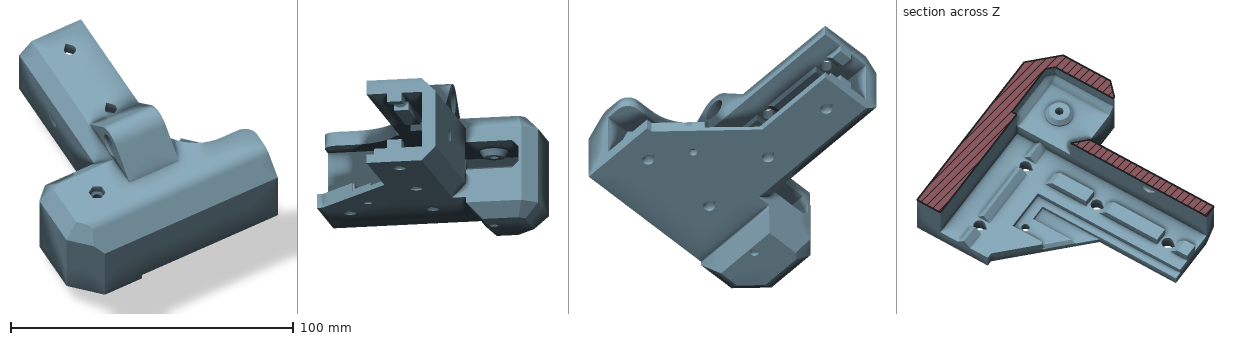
import cadquery as cq
import math

LENGTH = 90.0
DEPTH = 80.0
HEIGHT = 49.0
RAIL = 20.0
WALL = 5.0
FOOT = 7.0
BACK = 30.0
POST_X = 60.0
BLOCK_CORNER = 10.0
OVER = 27.0

SHELL_Z = RAIL + 2 * WALL
ROOF_Z = WALL + RAIL
FRONT = BACK - DEPTH
ARM_Y = -RAIL - WALL
BLOCK_X = POST_X - WALL
POST_END = POST_X + RAIL
RAIL_MID_Y = -RAIL / 2
RAIL_MID_X = POST_X + RAIL / 2

GUSSET_X = 32.2
ROOF_LOW_Y = 1.35
ROOF_HIGH_Y = 18.3
ROOF_TIP_R = 5.0
LUG_X = 57.1
LUG_R = 7.0
LUG_BORE = 8.2
LUG_Z = HEIGHT - FOOT - LUG_R
SCREW_D = 4.2
SCREW_TIP = 3.2
HEAD_D = 8.2
ARM_HOLES_X = (10.0, 40.0)
SIDE_HOLE_X = 25.0
CROSS_HOLES_Y = (RAIL_MID_Y, 20.0)
KEY_W = 5.2
KEY_H = 3.1
RIDGE_H = 2.5
EMBED = 0.9
KEY_GAP = 5.5
IDLER_Y = -32.1
IDLER_R = 12.0
IDLER_Z = (WALL + ROOF_Z) / 2
POCKET_X = 52.6
POCKET_H = 10.0
POCKET_BEVEL = 2.5
CONE_BASE_D = 10.0
CONE_TIP_D = 7.5
CONE_RIM = 0.5
CONE_H = 2.25
AXLE_D = 3.1
NUT_D = 6.0
NUT_DEPTH = 3.1
RECESS_Z = 3.1
RECESS_Y = (-2.8, 13.8)
BAY_Z = 1.7
BAY_X = 56.25
BAY_DEPTH_Y = 6.3
RAMP_W = 1.5
RAMP_DROP = 1.2
NOTCH_X = 47.3
NOTCH_Y = 14.5
SWITCH_HOLE = (56.5, 10.8)
SWITCH_HOLE_D = 3.0


def box(x, y, z):
    """Box from three (low, high) ranges."""
    size = [high - low for low, high in (x, y, z)]
    return cq.Workplane("XY").box(*size, centered=False).translate((x[0], y[0], z[0]))


def plate(points, z_low, z_high):
    """Prism over an XY outline."""
    return cq.Workplane("XY").workplane(offset=z_low).polyline(points).close().extrude(z_high - z_low)


def bevelled_end(points, z, height):
    """Prism starting at z (downward for a negative height), narrowing at 45 degrees."""
    return cq.Workplane("XY").workplane(offset=z).polyline(points).close().extrude(height, taper=45)


def along_y(profile, y_low, y_high):
    """Extrude an XZ wire between two Y positions."""
    return profile.extrude(y_low - y_high).translate((0, y_low, 0))


def teardrop(plane, u, v, length):
    """Screw hole from a base plane, with a point toward -X, its flanks tangent to the round part."""
    r = SCREW_D / 2
    tangent_u = r**2 / SCREW_TIP
    tangent_v = math.sqrt(r**2 - tangent_u**2)
    return (
        cq.Workplane(plane)
        .moveTo(u - SCREW_TIP, v)
        .lineTo(u - tangent_u, v - tangent_v)
        .threePointArc((u + r, v), (u - tangent_u, v + tangent_v))
        .close()
        .extrude(length)
    )


def shell():
    """Outer body: arm, cross post, gusset and upper part of the block, all solid."""
    low_x, high_x, high_y = -OVER, LENGTH + OVER, BACK + OVER
    arm_outline = [(low_x, ARM_Y), (high_x, ARM_Y), (high_x, high_y), (low_x, high_y)]
    block_outline = [
        (BLOCK_X, high_y), (BLOCK_X, FRONT + WALL), (POST_X, FRONT), (LENGTH - BLOCK_CORNER, FRONT),
        (high_x, FRONT + BLOCK_CORNER + OVER), (high_x, high_y),
    ]
    bevelled = cq.Workplane("XY")
    for outline in (arm_outline, block_outline):
        bevelled = bevelled.add(plate(outline, 0, ROOF_Z)).add(bevelled_end(outline, ROOF_Z, WALL))
    bevelled = bevelled.combine()

    round_mid_x = WALL * math.sin(math.pi / 8)
    round_mid_z = WALL * math.cos(math.pi / 8)
    diagonal = WALL / math.sqrt(2)
    bevel_sum = POST_END + ROOF_Z + 2 * diagonal
    profile = (
        cq.Workplane("XZ")
        .moveTo(0, 0)
        .lineTo(LENGTH, 0)
        .lineTo(LENGTH, bevel_sum - LENGTH)
        .lineTo(POST_END + diagonal, ROOF_Z + diagonal)
        .threePointArc((POST_END + round_mid_x, ROOF_Z + round_mid_z), (POST_END, SHELL_Z))
        .lineTo(0, SHELL_Z)
        .close()
    )
    body = bevelled.intersect(along_y(profile, FRONT, BACK))

    arm_bevel = (
        cq.Workplane("YZ").polyline([(ARM_Y, 0), (ARM_Y + WALL, 0), (ARM_Y, WALL)]).close().extrude(BLOCK_X)
    )
    gusset_end = POST_X - GUSSET_X
    behind = [(0, 0), (GUSSET_X, 0), (POST_X, gusset_end), (POST_X, BACK), (0, BACK)]
    return body.cut(arm_bevel).cut(plate(behind, 0, SHELL_Z))


def foot():
    """Lower part of the idler block, bevelled all round."""
    outline = [
        (BLOCK_X, ARM_Y), (BLOCK_X, FRONT + WALL), (POST_X, FRONT),
        (LENGTH - BLOCK_CORNER, FRONT), (LENGTH, FRONT + BLOCK_CORNER), (LENGTH, ARM_Y),
    ]
    bevel_top = WALL - FOOT
    return plate(outline, bevel_top, WALL).union(bevelled_end(outline, bevel_top, -WALL))


def lug():
    """Hinge lug on the arm: a round top with 45 degree flanks."""
    tangent = LUG_R / math.sqrt(2)
    half_base = LUG_R * math.sqrt(2) + LUG_Z - ROOF_Z
    profile = (
        cq.Workplane("XZ")
        .moveTo(LUG_X - half_base, ROOF_Z)
        .lineTo(LUG_X - tangent, LUG_Z + tangent)
        .threePointArc((LUG_X, LUG_Z + LUG_R), (LUG_X + tangent, LUG_Z + tangent))
        .lineTo(LUG_X + half_base, ROOF_Z)
        .close()
    )
    bore = cq.Workplane("XZ").center(LUG_X, LUG_Z).circle(LUG_BORE / 2)
    return along_y(profile, -RAIL, 0).cut(along_y(bore, -RAIL, 0))


def rail_space():
    """Both rails, plus everything left open above the gusset and beside the top plate."""
    arm_rail = box((0, POST_END), (-RAIL, 0), (WALL, ROOF_Z))
    cross_rail = box((POST_X, POST_END), (-RAIL, BACK), (WALL, ROOF_Z))
    run = RAIL_MID_X - POST_X
    rise = ROOF_HIGH_Y - ROOF_LOW_Y
    edge_r = (run**2 + rise**2) / (2 * run)
    half_angle = math.asin(rise / edge_r) / 2
    edge_mid = (
        RAIL_MID_X - edge_r * (1 - math.cos(half_angle)),
        ROOF_HIGH_Y - edge_r * math.sin(half_angle),
    )
    tip_x = RAIL_MID_X + ROOF_TIP_R
    tip_y = BACK - ROOF_TIP_R
    tip_off = ROOF_TIP_R / math.sqrt(2)
    open_top = (
        cq.Workplane("XY")
        .workplane(offset=WALL)
        .moveTo(0, 0)
        .lineTo(POST_X, 0)
        .lineTo(POST_X, ROOF_LOW_Y)
        .threePointArc(edge_mid, (RAIL_MID_X, ROOF_HIGH_Y))
        .lineTo(RAIL_MID_X, tip_y)
        .threePointArc((tip_x - tip_off, tip_y + tip_off), (tip_x, BACK))
        .lineTo(0, BACK)
        .close()
        .extrude(RAIL + WALL)
    )
    return arm_rail.union(cross_rail).union(open_top)


def arm_keys():
    """Slot keys on the arm's floor and roof, broken at the screws, with 45 degree +X ends."""
    starts = [0] + [x + KEY_GAP / 2 for x in ARM_HOLES_X]
    ends = [x - KEY_GAP / 2 for x in ARM_HOLES_X] + [POST_X]
    keys = cq.Workplane("XY")
    for start, end in zip(starts, ends):
        for base, up in ((WALL, 1), (ROOF_Z, -1)):
            side = [
                (start, base - up * EMBED), (end, base - up * EMBED), (end, base),
                (end - KEY_H, base + up * KEY_H), (start, base + up * KEY_H),
            ]
            key = cq.Workplane("XZ").polyline(side).close()
            keys = keys.add(along_y(key, RAIL_MID_Y - KEY_W / 2, RAIL_MID_Y + KEY_W / 2))
    return keys.combine()


def cross_ridge():
    """Triangular ridge on the floor of the cross rail, broken at the screw positions."""
    section = [
        (RAIL_MID_X - RIDGE_H, WALL), (RAIL_MID_X, WALL + RIDGE_H), (RAIL_MID_X + RIDGE_H, WALL),
        (RAIL_MID_X + RIDGE_H, WALL - EMBED), (RAIL_MID_X - RIDGE_H, WALL - EMBED),
    ]
    ridge = along_y(cq.Workplane("XZ").polyline(section).close(), -RAIL, BACK)
    for y in CROSS_HOLES_Y:
        gap = (y - KEY_GAP / 2, y + KEY_GAP / 2)
        ridge = ridge.cut(box((POST_X, POST_END), gap, (WALL, ROOF_Z)))
    return ridge


def idler_pocket():
    """Bevelled pocket for a belt idler, opening into the arm rail."""
    pocket_z = (IDLER_Z - POCKET_H / 2, IDLER_Z + POCKET_H / 2)
    pocket_y = (IDLER_Y - IDLER_R, -RAIL)
    pocket = box((POCKET_X, RAIL_MID_X + IDLER_R), pocket_y, pocket_z)
    pocket = pocket.edges("<Y or >X").edges("not >Y").chamfer(POCKET_BEVEL)
    pocket = pocket.cut(
        plate([(POCKET_X, ARM_Y), (POCKET_X + WALL, -RAIL), (POCKET_X, -RAIL)], *pocket_z)
    )
    return pocket.cut(box((POCKET_X, BLOCK_X), (FRONT, ARM_Y), pocket_z))


def spacers():
    """Conical spacers that centre the idler between the pocket's floor and ceiling."""
    cone = (
        cq.Workplane("XY")
        .circle(CONE_BASE_D / 2)
        .extrude(CONE_RIM)
        .faces(">Z")
        .workplane()
        .circle(CONE_BASE_D / 2)
        .workplane(offset=CONE_H - CONE_RIM)
        .circle(CONE_TIP_D / 2)
        .loft()
    )
    floor_cone = cone.translate((RAIL_MID_X, IDLER_Y, IDLER_Z - POCKET_H / 2))
    return floor_cone.union(floor_cone.mirror("XY", (0, 0, IDLER_Z)))


def switch_recess():
    """Shallow recess in the gusset and arm floor, with a deeper bay and a ramp on the diagonal edge."""
    recess = box((0, POST_X), RECESS_Y, (RECESS_Z, WALL))
    bay = box((GUSSET_X, BAY_X), (0, BAY_DEPTH_Y), (BAY_Z, WALL))
    ramp_section = [(GUSSET_X, RECESS_Z), (GUSSET_X + RAMP_W, RECESS_Z), (GUSSET_X, RECESS_Z - RAMP_DROP)]
    lower = [(x + BAY_DEPTH_Y, BAY_DEPTH_Y, z) for x, z in ramp_section]
    sweep = cq.Vector(1, 1, 0) * (RECESS_Y[1] - BAY_DEPTH_Y)
    face = cq.Face.makeFromWires(cq.Wire.makePolygon([cq.Vector(*p) for p in lower], close=True))
    ramp = cq.Workplane(obj=cq.Solid.extrudeLinear(face, sweep))
    notch = box((GUSSET_X, NOTCH_X), (RECESS_Y[1], NOTCH_Y), (RECESS_Z - RAMP_DROP, WALL))
    return recess.union(bay).union(ramp).union(notch)


def arm_screws():
    """Teardrop holes through the arm's floor, roof and front wall, with head clearance in the lug."""
    holes = cq.Workplane("XY")
    for x in ARM_HOLES_X:
        holes = holes.add(teardrop("XY", x, RAIL_MID_Y, SHELL_Z))
        holes = holes.add(cq.Workplane("XY", (x, RAIL_MID_Y, SHELL_Z)).circle(HEAD_D / 2).extrude(HEIGHT))
    return holes.add(teardrop("XZ", SIDE_HOLE_X, IDLER_Z, -ARM_Y)).combine()


def idler_axle():
    """Axle hole through the block with a nut trap in its top."""
    axle = cq.Workplane("XY", (RAIL_MID_X, IDLER_Y, -FOOT)).circle(AXLE_D / 2).extrude(HEIGHT)
    nut = cq.Workplane("XY", (RAIL_MID_X, IDLER_Y, SHELL_Z - NUT_DEPTH)).polygon(6, NUT_D).extrude(HEIGHT)
    return axle.union(nut)


def floor_screws():
    """Holes through the floor under the cross rail, and the switch screw in the gusset."""
    holes = cq.Workplane("XY").center(*SWITCH_HOLE).circle(SWITCH_HOLE_D / 2).extrude(WALL)
    for y in CROSS_HOLES_Y:
        holes = holes.union(teardrop("XY", RAIL_MID_X, y, ROOF_Z))
    return holes


result = shell().union(foot()).cut(rail_space()).union(lug()).cut(idler_pocket())
result = result.union(arm_keys()).union(cross_ridge()).union(spacers())
for cutter in (switch_recess(), arm_screws(), idler_axle(), floor_screws()):
    result = result.cut(cutter)